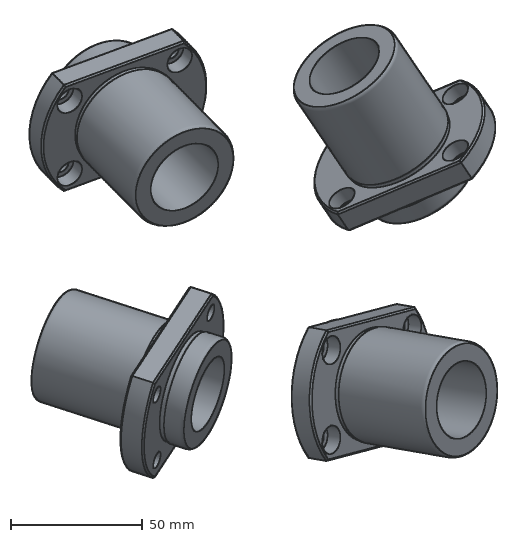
import cadquery as cq
import math

sleeve_length = 64.0
sleeve_diameter = 45.0
bore_diameter = 30.0
end_round_radius = 2.0
end_round_height = 0.75

flange_diameter = 73.75
flange_height = 51.0
flange_offset = 10.0
flange_thickness = 10.0
flange_chamfer = 0.7

hole_diameter = 6.6
hole_spacing_y = 49.0
hole_spacing_z = 34.95
counterbore_diameter = 11.0
counterbore_depth = 6.3

groove_half_width = 1.3
groove_depth = 0.5
groove_edge_distance = 2.0

sleeve_radius = sleeve_diameter / 2
sleeve_start = -sleeve_length / 2
sleeve_end = sleeve_length / 2
flange_start = sleeve_start + flange_offset
flange_end = flange_start + flange_thickness


def make_sleeve():
    """Revolve a solid sleeve with rounded ends and the two relief grooves."""
    face_radius = sleeve_radius - end_round_height
    round_drop = end_round_radius - end_round_height
    round_length = math.sqrt(end_round_radius**2 - round_drop**2)
    groove_floor = sleeve_radius - groove_depth
    first_groove = flange_start - groove_edge_distance + groove_half_width
    second_groove = flange_end + groove_edge_distance - groove_half_width

    profile = (
        cq.Workplane("XY")
        .moveTo(sleeve_start, 0)
        .lineTo(sleeve_start, face_radius)
        .radiusArc((sleeve_start + round_length, sleeve_radius), end_round_radius)
    )
    for groove_center in (first_groove, second_groove):
        groove_left = (groove_center - groove_half_width, sleeve_radius)
        groove_bottom = (groove_center, groove_floor)
        groove_right = (groove_center + groove_half_width, sleeve_radius)
        profile = profile.lineTo(*groove_left).threePointArc(groove_bottom, groove_right)
    profile = (
        profile.lineTo(sleeve_end - round_length, sleeve_radius)
        .radiusArc((sleeve_end, face_radius), end_round_radius)
        .lineTo(sleeve_end, 0)
        .close()
    )
    return profile.revolve(360, (0, 0, 0), (1, 0, 0))


def make_flange():
    """Build the flat-sided disc and chamfer the rims of both faces."""
    plane = cq.Workplane("YZ", origin=(flange_start, 0, 0))
    disc = plane.circle(flange_diameter / 2).extrude(flange_thickness)
    flat_block = plane.rect(flange_diameter, flange_height).extrude(flange_thickness)
    return disc.intersect(flat_block).faces("<X or >X").chamfer(flange_chamfer)


def make_mounting_holes():
    """Build the cutters for the four counterbored holes, sunk from the +X face of the flange."""
    hole_centers = cq.Workplane("YZ", origin=(flange_end, 0, 0)).rarray(hole_spacing_y, hole_spacing_z, 2, 2)
    holes = hole_centers.circle(hole_diameter / 2).extrude(-flange_thickness)
    counterbores = hole_centers.circle(counterbore_diameter / 2).extrude(-counterbore_depth)
    return holes.union(counterbores)


bore = cq.Workplane("YZ", origin=(sleeve_start, 0, 0)).circle(bore_diameter / 2).extrude(sleeve_length)
flange = make_flange().cut(make_mounting_holes())
result = make_sleeve().union(flange).cut(bore)